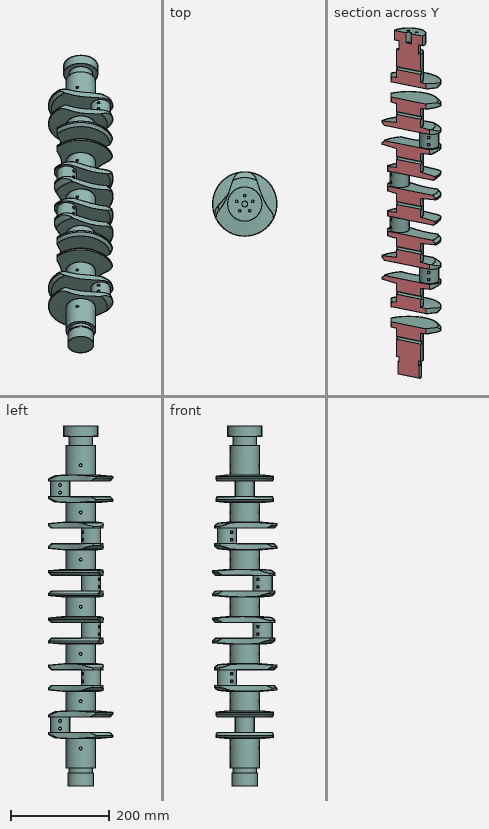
import cadquery as cq
import math

plus_y_angle = 90

total_length = 733.5
crank_middle = 365.0
throw_pitch = 96.0
throw_angles = [90, 210, 330, 330, 210, 90]

journal_diameter = 60.0
flange_diameter = 70.0
flange_height = 21.0
neck_diameter = 48.5
neck_height = 18.0
post_diameter = 53.0
post_height = 27.0
relief_height = 9.5

pin_offset = 42.0
pin_diameter = 39.5
pin_length = 31.5
swing_diameter = 131.0
web_thickness = 12.5
seat_diameter = 67.5
web_face_drop = 3.0
tip_bevel_width = 12.0
tip_bevel_depth = 6.5
weight_bevel = 6.0
tip_radius = 25.0
waist = (34.0, 20.5)
shoulder = (53.5, -15.0)
weight_corner_x = 58.0

centre_hole_diameter = 12.0
bolt_hole_diameter = 5.0
bolt_circle_diameter = 34.5
bolt_count = 5
oil_hole_diameter = 5.0
pin_oil_spacing = 15.5

swing_radius = swing_diameter / 2
seat_radius = seat_diameter / 2
throw_count = len(throw_angles)
throw_heights = [crank_middle + (i - (throw_count - 1) / 2) * throw_pitch for i in range(throw_count)]


def cylinder(diameter, bottom, top):
    return cq.Workplane("XY").workplane(offset=bottom).circle(diameter / 2).extrude(top - bottom)


def polar(radius, angle, centre_y=0):
    return (radius * math.cos(angle), centre_y + radius * math.sin(angle))


def web_plate():
    """Oversize plate with the web's side outline, pin end toward +Y, left untrimmed at the rim."""
    waist_below_pin = waist[1] - pin_offset
    waist_distance = math.hypot(waist[0], waist_below_pin)
    touch_angle = math.atan2(waist_below_pin, waist[0]) + math.acos(tip_radius / waist_distance)
    touch_point = polar(tip_radius, touch_angle, pin_offset)
    corner_angle = -math.acos(weight_corner_x / swing_radius)

    half = (
        cq.Workplane("XY")
        .moveTo(0, pin_offset + tip_radius)
        .threePointArc(polar(tip_radius, (touch_angle + math.pi / 2) / 2, pin_offset), touch_point)
        .lineTo(*waist)
        .tangentArcPoint(shoulder, relative=False)
        .tangentArcPoint(polar(swing_radius, corner_angle), relative=False)
        .lineTo(weight_corner_x, -swing_diameter)
        .lineTo(0, -swing_diameter)
    )
    return half.mirrorY().extrude(web_thickness, both=True)


def turned(profile, degrees=360):
    """Revolve a (radius, height) profile about Z; a half turn fills the +Y side."""
    return cq.Workplane("XZ").polyline(profile).close().revolve(degrees, (0, 0), (0, 1))


def make_web():
    """Web with its flat inner face at Z = 0 and its conical outer face above."""
    rim_height = web_thickness - web_face_drop
    disc = turned([
        (0, 0),
        (swing_radius, 0),
        (swing_radius, rim_height),
        (seat_radius, web_thickness),
        (0, web_thickness),
    ])

    bevel_start = swing_radius - tip_bevel_width
    bevel_top = rim_height + web_face_drop * tip_bevel_width / (swing_radius - seat_radius)
    tip_cutter = turned([
        (bevel_start, bevel_top),
        (swing_radius, bevel_top - tip_bevel_depth),
        (swing_diameter, bevel_top - tip_bevel_depth),
        (swing_diameter, web_thickness),
        (bevel_start, web_thickness),
    ], 180)
    weight_cutter = turned([
        (swing_radius - weight_bevel, 0),
        (swing_radius, weight_bevel),
        (swing_diameter, weight_bevel),
        (swing_diameter, 0),
    ], 180).mirror("XZ")
    return web_plate().intersect(disc).cut(tip_cutter).cut(weight_cutter)


def cross_hole(length, y, z):
    """Oil drilling right through along X, centred at X = 0."""
    hole = cq.Workplane("YZ").circle(oil_hole_diameter / 2).extrude(length / 2, both=True)
    return hole.translate((0, y, z))


def make_throw():
    """Pin on +Y between two mirrored webs, centred on Z = 0, with two oil holes across the pin."""
    upper_web = make_web().translate((0, 0, pin_length / 2))
    pin = cylinder(pin_diameter, -pin_length / 2, pin_length / 2).translate((0, pin_offset, 0))
    throw = pin.union(upper_web).union(upper_web.mirror("XY"))
    for height in (-pin_oil_spacing / 2, pin_oil_spacing / 2):
        throw = throw.cut(cross_hole(pin_diameter, pin_offset, height))
    return throw


def make_shaft():
    """Journals between the throws, with the post at the bottom and the flange at the top."""
    outer_web = pin_length / 2 + web_thickness
    flange_bottom = total_length - flange_height
    journal_top = flange_bottom - neck_height
    journal_bottom = post_height + relief_height
    shaft = cylinder(post_diameter, 0, post_height)
    shaft = shaft.union(cylinder(neck_diameter, post_height, journal_bottom))
    shaft = shaft.union(cylinder(neck_diameter, journal_top, flange_bottom))
    shaft = shaft.union(cylinder(flange_diameter, flange_bottom, total_length))
    bottoms = [journal_bottom] + [z + outer_web for z in throw_heights]
    tops = [z - outer_web for z in throw_heights] + [journal_top]
    for bottom, top in zip(bottoms, tops):
        shaft = shaft.union(cylinder(journal_diameter, bottom, top))
    return shaft


def flange_holes():
    """Centre hole and bolt holes through the flange, the first bolt hole toward +Y."""
    top = cq.Workplane("XY").workplane(offset=total_length)
    centre = top.circle(centre_hole_diameter / 2).extrude(-flange_height)
    bolts = (
        top.polarArray(bolt_circle_diameter / 2, plus_y_angle, 360, bolt_count)
        .circle(bolt_hole_diameter / 2)
        .extrude(-flange_height)
    )
    return centre.union(bolts)


result = make_shaft()
throw = make_throw()
for height, angle in zip(throw_heights, throw_angles):
    swung_throw = throw.rotate((0, 0, 0), (0, 0, 1), angle - plus_y_angle)
    result = result.union(swung_throw.translate((0, 0, height)))
for index in range(throw_count + 1):
    journal_height = crank_middle + (index - throw_count / 2) * throw_pitch
    result = result.cut(cross_hole(journal_diameter, 0, journal_height))
result = result.cut(flange_holes())